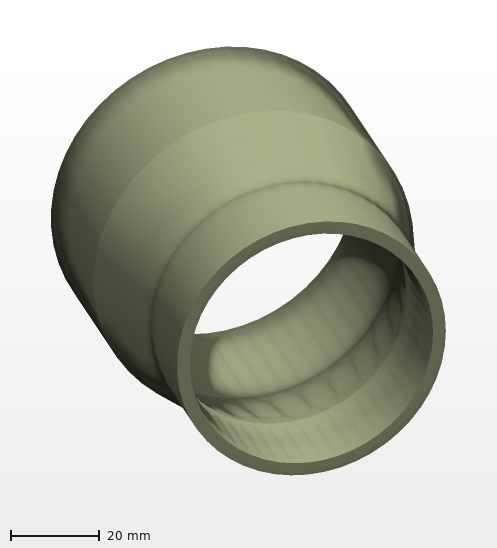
import cadquery as cq

total_length = 80.0
large_end_length = 34.0
small_end_length = 21.0

large_outer_diameter = 75.0
large_bore_diameter = 67.8
small_outer_diameter = 63.0
small_bore_diameter = 57.0

taper_start = large_end_length
taper_end = total_length - small_end_length


def stepped_body(large_diameter, small_diameter):
    """Solid of revolution about X: large cylinder, cone, small cylinder."""
    large_radius = large_diameter / 2
    small_radius = small_diameter / 2
    return (
        cq.Workplane("XY")
        .moveTo(0, 0)
        .lineTo(0, large_radius)
        .lineTo(taper_start, large_radius)
        .lineTo(taper_end, small_radius)
        .lineTo(total_length, small_radius)
        .lineTo(total_length, 0)
        .close()
        .revolve(360, (0, 0, 0), (1, 0, 0))
    )


outer_body = stepped_body(large_outer_diameter, small_outer_diameter)
bore = stepped_body(large_bore_diameter, small_bore_diameter)
result = outer_body.cut(bore)